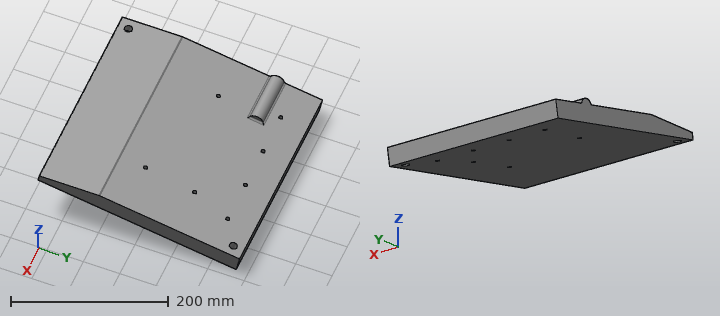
import cadquery as cq
import math


width = 275.0
base_length = 276.97
front_thickness = 9.9
back_thickness = 25.0
tilt = 10.53
crest_radius = 6.0
crest_distance = (back_thickness - front_thickness) / math.tan(math.radians(tilt))

mounting_diameter = 10.0
mounting_inset_x = 14.5
mounting_from_front = 14.2
mounting_from_back = 14.7

row_diameter = 4.9
row_count = 4
row_start = 50.7
row_pitch = 58.5
row_from_back = 37.0

pin_diameter = 5.0
pin_holes = [(60.3, 156.9), (206.5, 116.8), (209.7, 186.8)]

rib_length = 70.0
rib_radius = 10.0
rib_from_back = 63.0
rib_rise = 7.6
rib_fillet = 2.5
rib_distance = base_length - rib_from_back

selector_margin = 0.01


def plate():
    """Wedge with a sloping front pad, softly rounded where the pad meets the top face."""
    outline = [
        (0, 0),
        (base_length, 0),
        (base_length, back_thickness),
        (crest_distance, back_thickness),
        (0, front_thickness),
    ]
    wedge = cq.Workplane("YZ").polyline(outline).close().extrude(width)
    crest_edge = cq.selectors.NearestToPointSelector((width / 2, crest_distance, back_thickness))
    return wedge.edges(crest_edge).fillet(crest_radius)


def rib():
    """Cylinder along X, sunk into the plate so that only its crown stands proud."""
    axis_height = back_thickness + rib_rise - rib_radius
    return cq.Workplane("YZ").center(rib_distance, axis_height).circle(rib_radius).extrude(rib_length)


def add_rib(body):
    """Join the rib to the plate and fillet its foot on both sides and at its inner end."""
    foot_edges = cq.selectors.BoxSelector(
        (0, rib_distance - rib_radius, back_thickness - selector_margin),
        (rib_length + selector_margin, rib_distance + rib_radius, back_thickness + selector_margin),
    )
    return body.union(rib()).edges(foot_edges).fillet(rib_fillet)


def drill(points, diameter):
    """Cutters for through holes square to the base."""
    return cq.Workplane("XY").pushPoints(points).circle(diameter / 2).extrude(back_thickness)


mounting_holes = [
    (mounting_inset_x, mounting_from_front),
    (width - mounting_inset_x, base_length - mounting_from_back),
]
row_holes = [(row_start + i * row_pitch, base_length - row_from_back) for i in range(row_count)]

body = add_rib(plate())
body = body.cut(drill(mounting_holes, mounting_diameter))
body = body.cut(drill(row_holes, row_diameter))
body = body.cut(drill(pin_holes, pin_diameter))

result = body.rotate((0, 0, 0), (1, 0, 0), -tilt)